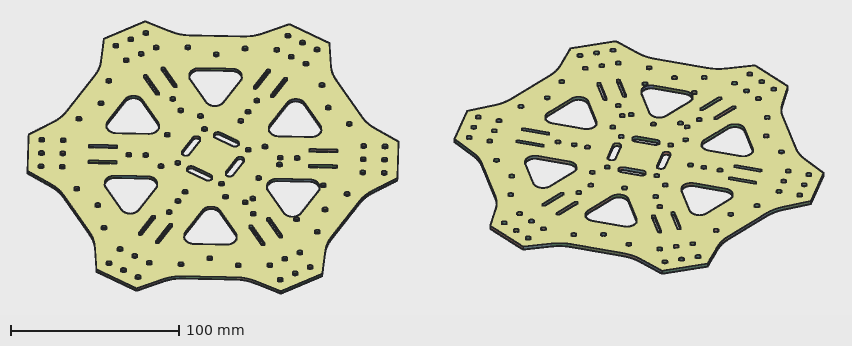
import math

import cadquery as cq

THICKNESS = 2.39
ARM_COUNT = 6
ARM_PITCH = 360 / ARM_COUNT
ARM_ANGLE = 90
SIDE_ANGLE = 0
TIP_RADIUS = 110
TIP_HALF_WIDTH = 13.97
SIDE_APOTHEM = 92.2
FLANK_ANGLE = 34.4
FLANK_FILLET = 25.4

HOLE_DIAMETER = 3.1
ARM_HOLE_RADII = (89.3, 102)
ARM_HOLE_SPACING = 10.15
ARM_AXIS_HOLE_RADII = (40, 50)
SIDE_MIDDLE_HOLE_RADIUS = 78
SIDE_OUTER_HOLE_X = 83
SIDE_OUTER_HOLE_Y = 17
RING_COUNT = 8
RING_RADIUS = 31.8
SQUARE_PITCH = 30.48
OFFSET_SQUARE_CENTRE_X = 52.25

CENTRE_SLOT_LENGTH = 16.8
CENTRE_SLOT_WIDTH = 4.9
STRAP_SLOT_LENGTH = 17
STRAP_SLOT_WIDTH = 2.1
STRAP_SLOT_RADIUS = 65.5
STRAP_SLOT_OFFSET = 6

WINDOW_RADIUS = 55.7
WINDOW_INRADIUS = 11.6
WINDOW_FILLET = 6


def turned(point, angle):
    """Rotate a point about the plate centre by an angle in degrees."""
    x, y = point
    cosine = math.cos(math.radians(angle))
    sine = math.sin(math.radians(angle))
    return (x * cosine - y * sine, x * sine + y * cosine)


def around(points, first_angle):
    """Repeat points laid out along +X once per arm, starting at first_angle."""
    angles = [first_angle + i * ARM_PITCH for i in range(ARM_COUNT)]
    return [turned(point, angle) for angle in angles for point in points]


def make_plate():
    """Six-armed plate; its straight sides blend into the arm flanks."""
    corner_x, corner_y = turned((TIP_RADIUS, -TIP_HALF_WIDTH), ARM_PITCH / 2)
    flank_to_side = math.radians(90 - ARM_PITCH / 2 - FLANK_ANGLE)
    knee_y = corner_y - (corner_x - SIDE_APOTHEM) / math.tan(flank_to_side)
    knee = (SIDE_APOTHEM, knee_y)
    lower_knee = (SIDE_APOTHEM, -knee_y)
    side_points = [(corner_x, -corner_y), lower_knee, knee, (corner_x, corner_y)]

    outline = around(side_points, SIDE_ANGLE)
    plate = cq.Workplane("XY").polyline(outline).close().extrude(THICKNESS)
    for x, y in around([lower_knee, knee], SIDE_ANGLE):
        knee_edge = cq.selectors.NearestToPointSelector((x, y, THICKNESS / 2))
        plate = plate.edges("|Z").edges(knee_edge).fillet(FLANK_FILLET)
    return plate


def square_points(centre_x):
    """Corners of a mounting-hole square centred on the X axis."""
    half = SQUARE_PITCH / 2
    return [(centre_x + i * half, j * half) for i in (-1, 1) for j in (-1, 1)]


def hole_points():
    """Centres of all round holes."""
    arm_holes = [(radius, i * ARM_HOLE_SPACING) for radius in ARM_HOLE_RADII for i in (-1, 0, 1)]
    arm_holes += [(radius, 0) for radius in ARM_AXIS_HOLE_RADII]
    side_holes = [
        (SIDE_MIDDLE_HOLE_RADIUS, 0),
        (SIDE_OUTER_HOLE_X, -SIDE_OUTER_HOLE_Y),
        (SIDE_OUTER_HOLE_X, SIDE_OUTER_HOLE_Y),
    ]
    ring_holes = [turned((RING_RADIUS, 0), i * 360 / RING_COUNT) for i in range(RING_COUNT)]
    squares = square_points(0) + square_points(OFFSET_SQUARE_CENTRE_X)
    return around(arm_holes, ARM_ANGLE) + around(side_holes, SIDE_ANGLE) + ring_holes + squares


def make_holes():
    return cq.Workplane("XY").pushPoints(hole_points()).circle(HOLE_DIAMETER / 2).extrude(THICKNESS)


def make_centre_slots():
    """Four round-ended slots, one along each side of the centre hole square."""
    half = SQUARE_PITCH / 2
    across = cq.Workplane("XY").pushPoints([(0, -half), (0, half)])
    across = across.slot2D(CENTRE_SLOT_LENGTH, CENTRE_SLOT_WIDTH).extrude(THICKNESS)
    return across.union(across.rotate((0, 0, 0), (0, 0, 1), 90))


def make_strap_slots():
    """A pair of narrow round-ended slots along every arm."""
    centres = [(STRAP_SLOT_RADIUS, -STRAP_SLOT_OFFSET), (STRAP_SLOT_RADIUS, STRAP_SLOT_OFFSET)]
    pair = cq.Workplane("XY").pushPoints(centres)
    pair = pair.slot2D(STRAP_SLOT_LENGTH, STRAP_SLOT_WIDTH).extrude(THICKNESS)
    return repeat_around(pair, ARM_ANGLE)


def make_windows():
    """Rounded triangles, each with one side parallel to a straight side of the plate."""
    circumradius = 2 * WINDOW_INRADIUS
    corners = [turned((circumradius, 0), angle) for angle in (60, 180, 300)]
    window = cq.Workplane("XY").polyline(corners).close().extrude(THICKNESS)
    window = window.edges("|Z").fillet(WINDOW_FILLET).translate((WINDOW_RADIUS, 0, 0))
    return repeat_around(window, SIDE_ANGLE)


def repeat_around(cutter, first_angle):
    """Copy a cutter built along +X to every arm position, starting at first_angle."""
    copies = cq.Workplane("XY")
    for i in range(ARM_COUNT):
        copies = copies.add(cutter.rotate((0, 0, 0), (0, 0, 1), first_angle + i * ARM_PITCH))
    return copies.combine()


result = (
    make_plate()
    .cut(make_holes())
    .cut(make_centre_slots())
    .cut(make_strap_slots())
    .cut(make_windows())
)